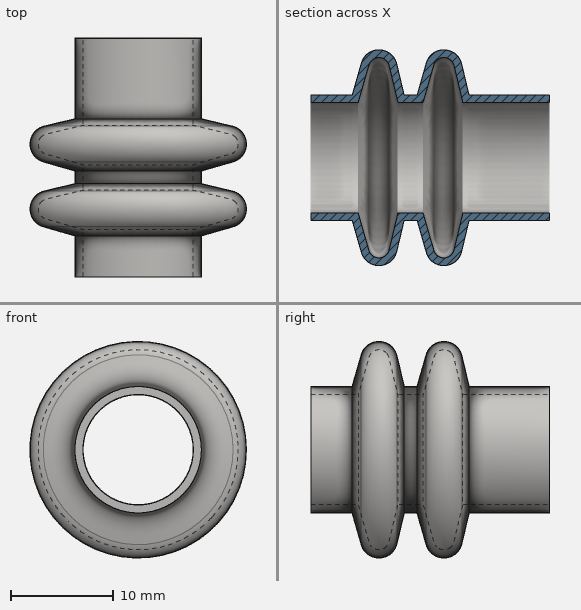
import cadquery as cq
import math

LENGTH = 23.34
CREST_DIAMETER = 21.15
BORE_DIAMETER = 10.75
WALL = 0.8

CONVOLUTION_COUNT = 2
PITCH = 6.34
FIRST_CREST = 6.66
CREST_ROUND = 1.8
FRONT_FLANK_ANGLE = 16.0
REAR_FLANK_ANGLE = 13.4

BORE_RADIUS = BORE_DIAMETER / 2
TUBE_RADIUS = BORE_RADIUS + WALL
ROUND_CENTRE_RADIUS = CREST_DIAMETER / 2 - CREST_ROUND
FRONT_END = -LENGTH / 2
REAR_END = LENGTH / 2


def flank_points(root_radius, crest_round, angle_degrees):
    """Root and tangent points of a flank, as (radius, distance from the crest plane)."""
    angle = math.radians(angle_degrees)
    flank_height = ROUND_CENTRE_RADIUS - root_radius
    root_offset = (crest_round + flank_height * math.sin(angle)) / math.cos(angle)
    tangent_radius = ROUND_CENTRE_RADIUS + crest_round * math.sin(angle)
    tangent_offset = crest_round * math.cos(angle)
    return (root_radius, root_offset), (tangent_radius, tangent_offset)


def bellows_solid(root_radius, crest_round):
    """Solid of revolution with the given tube radius and crest rounding."""
    front_root, front_tangent = flank_points(root_radius, crest_round, FRONT_FLANK_ANGLE)
    rear_root, rear_tangent = flank_points(root_radius, crest_round, REAR_FLANK_ANGLE)
    crest_radius = ROUND_CENTRE_RADIUS + crest_round

    profile = cq.Workplane("XY").moveTo(0, FRONT_END).lineTo(root_radius, FRONT_END)
    for index in range(CONVOLUTION_COUNT):
        crest = FRONT_END + FIRST_CREST + index * PITCH
        profile = (
            profile
            .lineTo(front_root[0], crest - front_root[1])
            .lineTo(front_tangent[0], crest - front_tangent[1])
            .threePointArc((crest_radius, crest), (rear_tangent[0], crest + rear_tangent[1]))
            .lineTo(rear_root[0], crest + rear_root[1])
        )
    profile = profile.lineTo(root_radius, REAR_END).lineTo(0, REAR_END).close()
    return profile.revolve(360, (0, 0, 0), (0, 1, 0))


outside = bellows_solid(TUBE_RADIUS, CREST_ROUND)
inside = bellows_solid(BORE_RADIUS, CREST_ROUND - WALL)
result = outside.cut(inside)